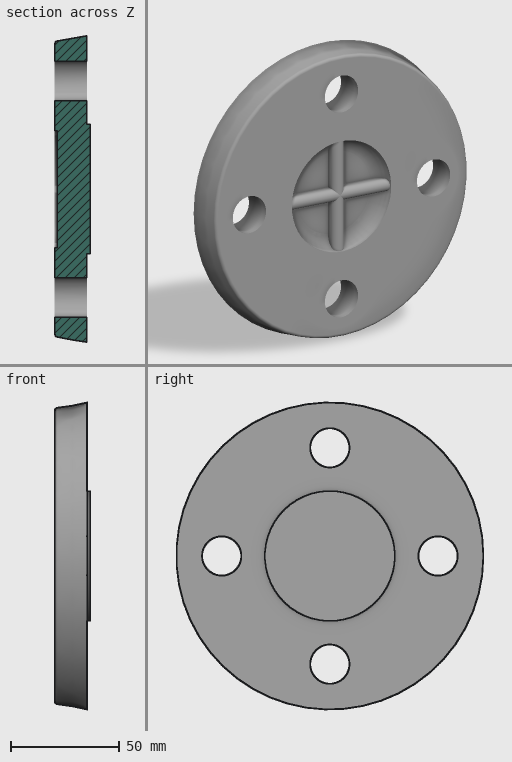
import cadquery as cq
import math

outer_diameter = 142.0
plate_thickness = 15.0
rim_draft_deg = 10.0
rim_fillet = 1.5

raised_face_diameter = 60.0
raised_face_height = 1.4

bolt_hole_diameter = 18.0
bolt_circle_diameter = 100.0
bolt_count = 4

pocket_diameter = 54.0
pocket_depth = 7.0

rib_width = 6.1
rib_top_depth = 1.0

rim_taper = plate_thickness * math.tan(math.radians(rim_draft_deg))


def disc(diameter, start_x, length):
    """Cylinder along +X, starting at start_x."""
    return cq.Workplane("YZ", origin=(start_x, 0, 0)).circle(diameter / 2).extrude(length)


def tapered_plate():
    """Plate that narrows toward the front, with a rounded front edge."""
    back_radius = outer_diameter / 2
    front_radius = back_radius - rim_taper
    plate = (
        cq.Workplane("XY")
        .polyline([(0, 0), (0, front_radius), (plate_thickness, back_radius), (plate_thickness, 0)])
        .close()
        .revolve(360, (0, 0, 0), (1, 0, 0))
    )
    return plate.faces("<X").edges().fillet(rim_fillet)


def pocket():
    """Dish-shaped pocket volume: flat floor and a quarter-round wall as deep as the pocket."""
    rim_radius = pocket_diameter / 2
    floor_radius = rim_radius - pocket_depth
    arc_reach = pocket_depth * math.sqrt(0.5)
    return (
        cq.Workplane("XY")
        .lineTo(0, rim_radius)
        .threePointArc((arc_reach, floor_radius + arc_reach), (pocket_depth, floor_radius))
        .lineTo(pocket_depth, 0)
        .close()
        .revolve(360, (0, 0, 0), (1, 0, 0))
    )


def cross_rib():
    """Round-topped rib along Y, spanning the pocket from its floor."""
    half_width = rib_width / 2
    shoulder_x = rib_top_depth + half_width
    return (
        cq.Workplane("XZ", origin=(0, pocket_diameter / 2, 0))
        .moveTo(pocket_depth, -half_width)
        .lineTo(shoulder_x, -half_width)
        .threePointArc((rib_top_depth, 0), (shoulder_x, half_width))
        .lineTo(pocket_depth, half_width)
        .close()
        .extrude(pocket_diameter)
    )


def bolt_holes():
    """Through holes on the bolt circle, in line with the ribs."""
    return (
        cq.Workplane("YZ")
        .polarArray(bolt_circle_diameter / 2, 0, 360, bolt_count)
        .circle(bolt_hole_diameter / 2)
        .extrude(plate_thickness)
    )


rib_along_y = cross_rib()
rib_along_z = rib_along_y.rotate((0, 0, 0), (1, 0, 0), 90)
ribs = rib_along_y.union(rib_along_z)
open_pocket = pocket().cut(ribs)

raised_face = disc(raised_face_diameter, plate_thickness, raised_face_height)
result = tapered_plate().union(raised_face).cut(open_pocket).cut(bolt_holes())